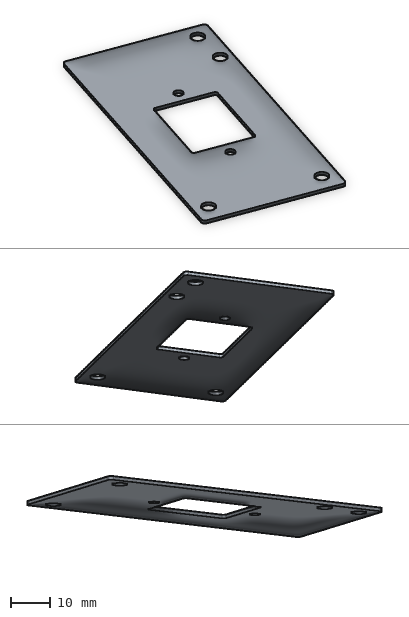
import cadquery as cq

plate_length = 81.5
plate_width = 40.5
plate_thickness = 1.0
plate_corner_radius = 1.0

window_length = 23.0
window_width = 17.9
window_corner_radius = 0.7

screw_hole_diameter = 2.6
screw_hole_spacing = 30.1

mount_hole_diameter = 3.8
right_holes_x = 35.2
right_holes_y = 16.0
mount_hole_centres = [
    (right_holes_x, right_holes_y),
    (right_holes_x, -right_holes_y),
    (-36.3, 15.7),
    (-25.4, 16.8),
]

plate = (
    cq.Workplane("XY")
    .box(plate_length, plate_width, plate_thickness)
    .edges("|Z")
    .fillet(plate_corner_radius)
)

window = (
    cq.Workplane("XY")
    .box(window_length, window_width, plate_thickness)
    .edges("|Z")
    .fillet(window_corner_radius)
)

screw_hole_centres = [(side * screw_hole_spacing / 2, 0) for side in (-1, 1)]

result = (
    plate.cut(window)
    .faces(">Z")
    .workplane(origin=(0, 0, 0))
    .pushPoints(screw_hole_centres)
    .hole(screw_hole_diameter)
    .faces(">Z")
    .workplane(origin=(0, 0, 0))
    .pushPoints(mount_hole_centres)
    .hole(mount_hole_diameter)
)